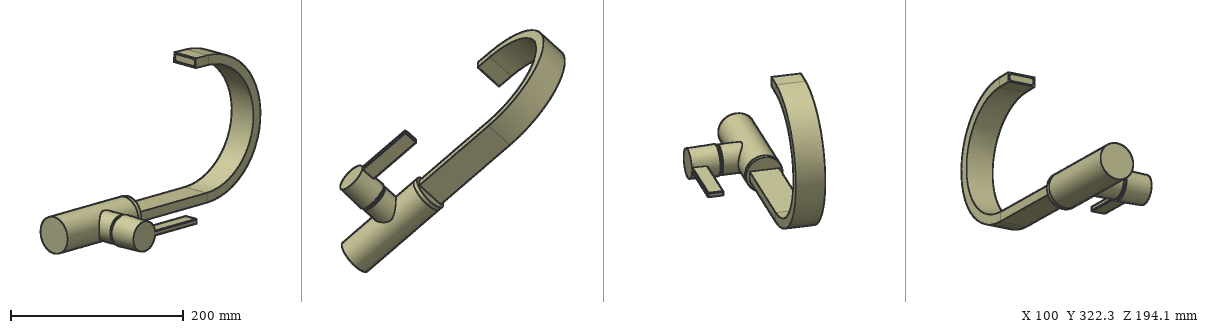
import cadquery as cq
import math

body_diameter = 44.0
body_radius = body_diameter / 2
housing_length = 116.5
collar_length = 5.0
collar_end = housing_length + collar_length

spout_width = 35.8
spout_thickness = 12.0
side_crown = 0.15
spout_reach = 322.3
bend_radius = 82.8
bend_center_y = spout_reach - bend_radius - spout_thickness / 2
bend_shortfall = math.radians(1.5)
bend_end_angle = math.pi - bend_shortfall
outlet_length = 20.0

aerator_width = 32.2
aerator_height = 8.5
aerator_corner = 3.2
aerator_depth = 3.2

neck_y = 70.0
neck_radius = 18.0
neck_end = 41.3
neck_chamfer = 1.3
spigot_radius = 16.8

overall_width = 100.0
hub_start = 43.5
hub_end = overall_width - body_radius
hub_start_radius = 19.0
hub_end_radius = 18.0
lever_width = 19.0
lever_tip_y = 157.5
lever_thickness = 6.0
lever_chamfer = 1.0


def y_cylinder(radius, start, length):
    """Cylinder along +Y on the housing axis."""
    return cq.Workplane("XZ", origin=(0, start, 0)).circle(radius).extrude(-length)


def x_cylinder(radius, start, end):
    """Cylinder along +X on the neck axis."""
    return cq.Workplane("YZ", origin=(start, neck_y, 0)).circle(radius).extrude(end - start)


def bend_point(angle):
    """(Y, Z) on the bend's middle line, with the angle measured from its start."""
    return (
        bend_center_y + bend_radius * math.sin(angle),
        bend_radius - bend_radius * math.cos(angle),
    )


def outlet_direction():
    """Unit vector along the outlet, out of the spout."""
    return cq.Vector(0, -math.cos(bend_shortfall), math.sin(bend_shortfall))


def outlet_face_center():
    return cq.Vector(0, *bend_point(bend_end_angle)) + outlet_direction() * outlet_length


def make_spout_bar():
    """Sweep the crowned bar section along the straight, the bend and the outlet."""
    tip = outlet_face_center()
    path = (
        cq.Workplane("YZ")
        .moveTo(collar_end, 0)
        .lineTo(bend_center_y, 0)
        .threePointArc(bend_point(bend_end_angle / 2), bend_point(bend_end_angle))
        .lineTo(tip.y, tip.z)
    )
    crown_x = spout_width / 2
    corner_x = crown_x - side_crown
    corner_z = spout_thickness / 2
    return (
        cq.Workplane("XZ", origin=(0, collar_end, 0))
        .moveTo(-corner_x, -corner_z)
        .lineTo(corner_x, -corner_z)
        .threePointArc((crown_x, 0), (corner_x, corner_z))
        .lineTo(-corner_x, corner_z)
        .threePointArc((-crown_x, 0), (-corner_x, -corner_z))
        .close()
        .sweep(path)
    )


def make_aerator():
    outward = outlet_direction()
    return (
        cq.Workplane(cq.Plane(outlet_face_center(), xDir=(1, 0, 0), normal=outward))
        .rect(aerator_width, aerator_height)
        .extrude(-aerator_depth)
        .edges(cq.selectors.ParallelDirSelector(outward))
        .fillet(aerator_corner)
    )


def make_neck(housing):
    """Neck and spigot, ending where they meet the round side of the housing."""
    neck = x_cylinder(neck_radius, 0, neck_end).faces(">X").chamfer(neck_chamfer)
    spigot = x_cylinder(spigot_radius, 0, hub_start)
    return neck.union(spigot).cut(housing)


def make_handle():
    hub_length = hub_end - hub_start
    hub = (
        cq.Workplane("YZ", origin=(hub_start, neck_y, 0))
        .circle(hub_start_radius)
        .workplane(offset=hub_length)
        .circle(hub_end_radius)
        .loft()
    )
    lever = (
        cq.Workplane("XY")
        .box(lever_width, lever_tip_y - neck_y, lever_thickness, centered=False)
        .translate((hub_end - lever_width, neck_y, -lever_thickness / 2))
        .edges("|Y or >Y")
        .chamfer(lever_chamfer)
    )
    return hub.union(lever)


housing = y_cylinder(body_radius, 0, housing_length)
collar = y_cylinder(body_radius, housing_length, collar_length)
aerator = make_aerator()
spout = make_spout_bar().cut(aerator)
neck = make_neck(housing)
handle = make_handle()

result = cq.Compound.makeCompound(
    [housing.val(), collar.val(), spout.val(), aerator.val(), neck.val(), handle.val()]
)